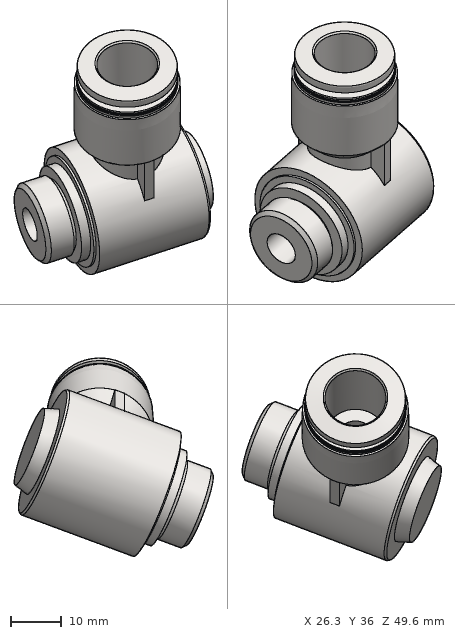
import cadquery as cq


body_radius = 26.3 / 2
body_front_y = -12.0
body_back_y = 12.15
body_edge_length = 0.45
body_edge_depth = 0.3
lip_radius = 23.0 / 2
lip_y = body_front_y - 0.5
collar_radius = 20.0 / 2
collar_y = lip_y - 2
thread_radius = 16.65 / 2
thread_end_y = -21.05
thread_chamfer = (16.65 - 15.0) / 2
boss_end_y = 14.95
boss_base_radius = 8.95
boss_end_radius = 8.1

overall_height = 49.55
port_top_z = overall_height - body_radius
neck_radius = 7.3
cone_bottom_z = 15.15
socket_bottom_z = 18.5
socket_radius = 21.0 / 2
socket_taper_z = 28.15
socket_top_radius = 10.4
socket_top_z = 31.15
ring_radius = 20.0 / 2
ring_groove_radius = 9.7
ring_groove_bottom_z = 31.75
ring_groove_top_z = 31.9
ring_lower_edge_z = 32.1
ring_upper_edge_z = 32.5
ring_top_radius = 9.9
ring_top_z = 32.8
release_stem_radius = 15.0 / 2
release_flare = 0.2
release_cap_radius = 19.8 / 2
release_cap_bottom_z = 34.2
release_cap_edge_z = 35.8
release_cap_edge_width = 0.1
release_cap_edge_height = 0.35

tube_bore_radius = 12.0 / 2
tube_bore_chamfer = 0.35
flow_radius = 6.9 / 2
rib_thickness = 2.1


def make_body():
    """Turned banjo body with the bolt ends, revolved about Y."""
    profile = [
        (0, thread_end_y),
        (thread_radius - thread_chamfer, thread_end_y),
        (thread_radius, thread_end_y + thread_chamfer),
        (thread_radius, collar_y - thread_chamfer),
        (thread_radius - thread_chamfer, collar_y),
        (collar_radius, collar_y),
        (collar_radius, lip_y),
        (lip_radius, lip_y),
        (lip_radius, body_front_y),
        (body_radius, body_front_y),
        (body_radius, body_back_y - body_edge_length),
        (body_radius - body_edge_depth, body_back_y),
        (boss_base_radius, body_back_y),
        (boss_end_radius, boss_end_y),
        (0, boss_end_y),
    ]
    return cq.Workplane("XY").polyline(profile).close().revolve(360, (0, 0), (0, 1))


def make_port():
    """Neck, socket, retaining ring and release sleeve, revolved about Z."""
    profile = [
        (0, 0),
        (neck_radius, 0),
        (neck_radius, cone_bottom_z),
        (socket_radius, socket_bottom_z),
        (socket_radius, socket_taper_z),
        (socket_top_radius, socket_top_z),
        (ring_radius, socket_top_z),
        (ring_radius, ring_groove_bottom_z),
        (ring_groove_radius, ring_groove_bottom_z),
        (ring_groove_radius, ring_groove_top_z),
        (ring_radius, ring_lower_edge_z),
        (ring_radius, ring_upper_edge_z),
        (ring_top_radius, ring_top_z),
        (release_stem_radius, ring_top_z),
        (release_stem_radius, release_cap_bottom_z - release_flare),
        (release_stem_radius + release_flare, release_cap_bottom_z),
        (release_cap_radius, release_cap_bottom_z),
        (release_cap_radius, release_cap_edge_z - release_cap_edge_height),
        (release_cap_radius - release_cap_edge_width, release_cap_edge_z),
        (tube_bore_radius + tube_bore_chamfer, port_top_z),
        (0, port_top_z),
    ]
    return cq.Workplane("XZ").polyline(profile).close().revolve(360, (0, 0), (0, 1))


def make_ribs():
    """Flat web that forms one rib on each side of the neck."""
    return cq.Workplane("XY").box(
        2 * socket_radius, rib_thickness, socket_bottom_z, centered=(True, True, False)
    )


def make_tube_bore():
    """Chamfered tube socket, ending level with the bottom of the straight wall."""
    profile = [
        (0, socket_bottom_z),
        (tube_bore_radius, socket_bottom_z),
        (tube_bore_radius, port_top_z - tube_bore_chamfer),
        (tube_bore_radius + tube_bore_chamfer, port_top_z),
        (0, port_top_z),
    ]
    return cq.Workplane("XZ").polyline(profile).close().revolve(360, (0, 0), (0, 1))


def make_flow_passage():
    """Vertical and horizontal bores joined by a ball-shaped elbow."""
    vertical = cq.Workplane("XY").circle(flow_radius).extrude(port_top_z)
    horizontal = cq.Workplane("XZ").circle(flow_radius).extrude(-thread_end_y)
    elbow = cq.Workplane("XY").sphere(flow_radius)
    return vertical.union(horizontal).union(elbow)


fitting = make_body().union(make_port()).union(make_ribs())
result = fitting.cut(make_tube_bore()).cut(make_flow_passage())